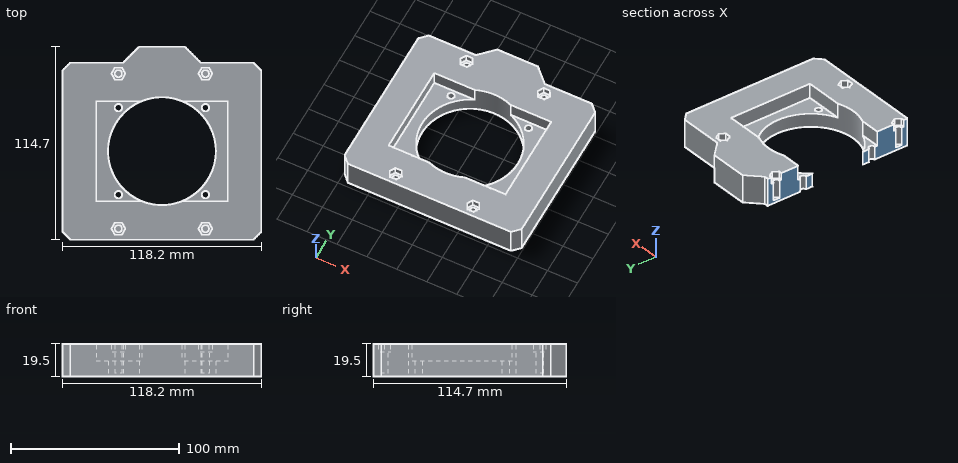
import cadquery as cq

plate_width = 118.2
plate_depth = 105.2
thickness = 19.5
corner_chamfer = 4.7

overall_depth = 114.7
tab_height = overall_depth - plate_depth
tab_base_width = 46.1
tab_tip_width = tab_base_width - 2 * tab_height

bore_diameter = 64.0
pocket_width = 78.0
pocket_length_y = 59.3
pocket_floor_z = 9.5

hole_spacing = 51.7
screw_diameter = 4.3
nut_spacing_y = 92.1
nut_corner_diameter = 8.3
nut_recess_depth = 4.7
pilot_diameter = screw_diameter
pilot_floor_z = 2.4


def make_plate():
    return (
        cq.Workplane("XY")
        .rect(plate_width, plate_depth)
        .extrude(thickness)
        .edges("|Z")
        .chamfer(corner_chamfer)
    )


def make_tab():
    edge_y = plate_depth / 2
    tip_y = edge_y + tab_height
    return (
        cq.Workplane("XY")
        .moveTo(-tab_base_width / 2, 0)
        .lineTo(-tab_base_width / 2, edge_y)
        .lineTo(-tab_tip_width / 2, tip_y)
        .lineTo(tab_tip_width / 2, tip_y)
        .lineTo(tab_base_width / 2, edge_y)
        .lineTo(tab_base_width / 2, 0)
        .close()
        .extrude(thickness)
    )


def make_bore():
    return cq.Workplane("XY").circle(bore_diameter / 2).extrude(thickness)


def make_pocket():
    return (
        cq.Workplane("XY", origin=(0, 0, pocket_floor_z))
        .rect(pocket_width, pocket_length_y)
        .extrude(thickness - pocket_floor_z)
    )


def make_screw_holes():
    return (
        cq.Workplane("XY")
        .rarray(hole_spacing, hole_spacing, 2, 2)
        .circle(screw_diameter / 2)
        .extrude(thickness)
    )


def make_nut_recesses():
    """Hexagonal recesses, each with a blind round hole below it."""
    recesses = (
        cq.Workplane("XY", origin=(0, 0, thickness - nut_recess_depth))
        .rarray(hole_spacing, nut_spacing_y, 2, 2)
        .polygon(6, nut_corner_diameter)
        .extrude(nut_recess_depth)
    )
    pilots = (
        cq.Workplane("XY", origin=(0, 0, pilot_floor_z))
        .rarray(hole_spacing, nut_spacing_y, 2, 2)
        .circle(pilot_diameter / 2)
        .extrude(thickness - pilot_floor_z)
    )
    return recesses.union(pilots)


result = (
    make_plate()
    .union(make_tab())
    .cut(make_bore())
    .cut(make_pocket())
    .cut(make_screw_holes())
    .cut(make_nut_recesses())
)